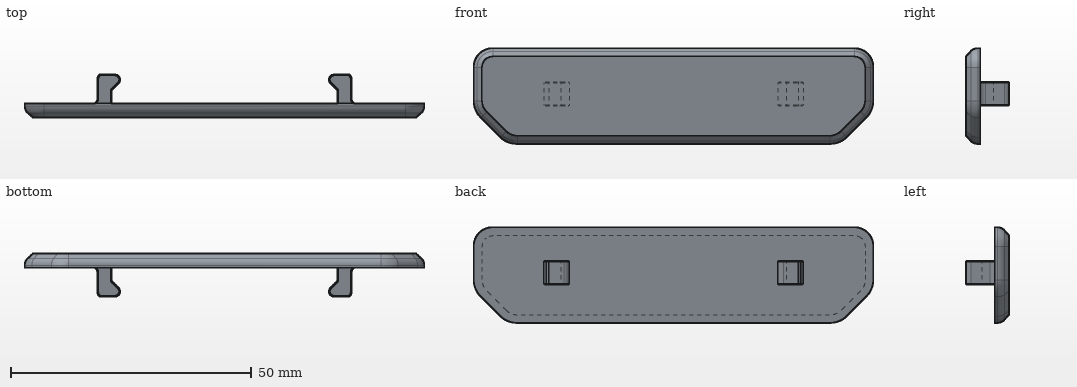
import cadquery as cq
import math

plate_length = 83.2
plate_height = 20.0
plate_thickness = 3.0
top_corner_radius = 4.0
bottom_corner_cut = 7.0
bottom_corner_radius = 5.0

rim_bevel_depth = 1.6
rim_bevel_inset = 1.75
rim_radius = 2.0

hook_reach = 6.0
hook_width = 5.0
hook_top_margin = 7.0
hook_end_margin = 15.15
stem_thickness = 3.0
barb_overhang = 1.75
nose_radius = 1.1
outer_curve_height = 1.0
outer_curve_offset = 0.5
hook_edge_chamfer = 0.2

selection_margin = 0.1

half_length = plate_length / 2
half_height = plate_height / 2


def edges_between(y_range, z_range):
    """Selector for the edges whose centres lie within the given Y and Z ranges."""
    return cq.selectors.BoxSelector(
        (-plate_length, y_range[0], z_range[0]),
        (plate_length, y_range[1], z_range[1]),
    )


def make_plate():
    """Plate with rounded top corners, cut bottom corners and a bevelled front rim."""
    cut_top = -half_height + bottom_corner_cut
    cut_end = half_length - bottom_corner_cut
    outline = [
        (-half_length, half_height),
        (half_length, half_height),
        (half_length, cut_top),
        (cut_end, -half_height),
        (-cut_end, -half_height),
        (-half_length, cut_top),
    ]
    plate = cq.Workplane("XZ").polyline(outline).close().extrude(plate_thickness)
    whole_depth = (-plate_thickness, 0)
    top_corners = edges_between(whole_depth, (0, plate_height))
    bottom_corners = edges_between(whole_depth, (-plate_height, 0))
    plate = plate.edges("|Y").edges(top_corners).fillet(top_corner_radius)
    plate = plate.edges("|Y").edges(bottom_corners).fillet(bottom_corner_radius)

    plate = plate.faces("<Y").chamfer(rim_bevel_depth, rim_bevel_inset)
    bevel_y = -plate_thickness + rim_bevel_depth
    bevel_edges = edges_between(
        (bevel_y - selection_margin, bevel_y + selection_margin),
        (-plate_height, plate_height),
    )
    return plate.edges(bevel_edges).fillet(rim_radius)


def make_left_hook():
    """Hook near the -X end, with its barb pointing toward the middle of the plate."""
    outer_x = -half_length + hook_end_margin
    inner_x = outer_x + stem_thickness
    nose_x = inner_x + barb_overhang - nose_radius
    nose_y = hook_reach - nose_radius
    nose_diagonal = nose_radius * math.sqrt(0.5)
    catch_x = nose_x + nose_diagonal
    catch_y = nose_y - nose_diagonal
    stem_end_y = catch_y - (catch_x - inner_x)
    root_x = outer_x - outer_curve_offset
    tip_x = outer_x + outer_curve_offset
    embed = plate_thickness / 2

    curve_radius = (outer_curve_height**2 + outer_curve_offset**2) / (2 * outer_curve_offset)
    half_turn = math.asin(outer_curve_height / curve_radius) / 2
    tip_curve_middle = (
        outer_x + curve_radius * (1 - math.cos(half_turn)),
        hook_reach - outer_curve_height + curve_radius * math.sin(half_turn),
    )

    hook_top_z = half_height - hook_top_margin
    return (
        cq.Workplane("XY", origin=(0, 0, hook_top_z - hook_width))
        .moveTo(root_x, -embed)
        .lineTo(inner_x, -embed)
        .lineTo(inner_x, stem_end_y)
        .lineTo(catch_x, catch_y)
        .threePointArc((nose_x + nose_diagonal, nose_y + nose_diagonal), (nose_x, hook_reach))
        .lineTo(tip_x, hook_reach)
        .threePointArc(tip_curve_middle, (outer_x, hook_reach - outer_curve_height))
        .lineTo(outer_x, outer_curve_height)
        .tangentArcPoint((root_x, 0), relative=False)
        .lineTo(root_x, -embed)
        .close()
        .extrude(hook_width)
        .faces("|Z")
        .chamfer(hook_edge_chamfer)
    )


left_hook = make_left_hook()
right_hook = left_hook.mirror("YZ")
result = make_plate().union(left_hook).union(right_hook)